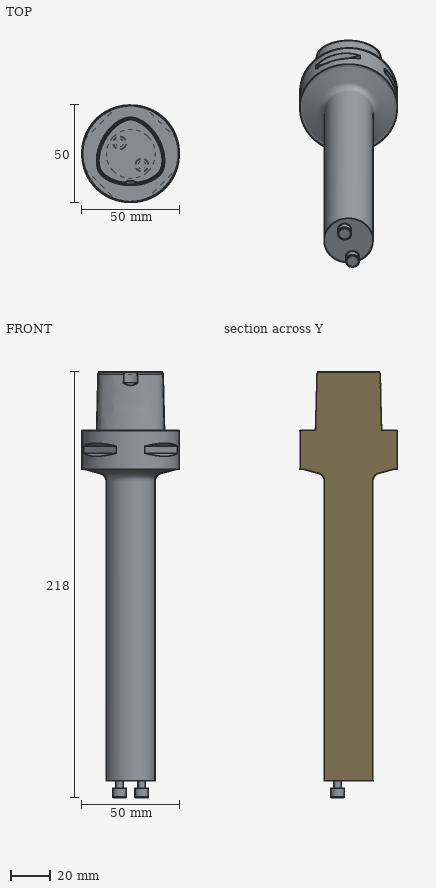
import cadquery as cq
import math

TOTAL_LENGTH = 218.0

SHANK_LENGTH = 29.9
SHANK_BASE_RADIUS = 17.5
LOBE_HEIGHT = 1.2
TAPER_PER_LENGTH = 0.025
SHANK_CHAMFER_HEIGHT = 1.3
SHANK_CHAMFER_WIDTH = 0.55
SHANK_CURVE_POINTS = 72

NOTCH_RADIUS = 4.8
NOTCH_CENTER_Y = -18.5
NOTCH_DEPTH = 5.7
NOTCH_TIP_ANGLE = 110.0

FLANGE_RADIUS = 50.0 / 2
FLANGE_HEIGHT = 20.0
FLANGE_CHAMFER = 0.5
NECK_TOP_RADIUS = 23.5
NECK_ANGLE = 15.0
NECK_FILLET = 4.0
SHAFT_RADIUS = 25.0 / 2

SLOT_COUNT = 4
SLOT_FLOOR_DISTANCE = 22.0
SLOT_FLOOR_HEIGHT = 3.5
SLOT_MOUTH_HEIGHT = 6.8
SLOT_Z = -FLANGE_HEIGHT / 2

SCREW_OFFSET = 5.7
SCREW_NECK_RADIUS = 4.0 / 2
SCREW_NECK_LENGTH = 3.7
SCREW_HEAD_RADIUS = 7.0 / 2
SCREW_HEAD_LENGTH = 4.8
SCREW_HEAD_CHAMFER = 0.5

SCREW_BOTTOM_Z = SHANK_LENGTH - TOTAL_LENGTH
SHAFT_BOTTOM_Z = SCREW_BOTTOM_Z + SCREW_HEAD_LENGTH + SCREW_NECK_LENGTH


def shank_section(radius, z):
    """Closed constant-width curve with one lobe toward +Y."""

    def point(t):
        angle = 2 * math.pi * t
        along = (radius * math.cos(angle) + 2 * LOBE_HEIGHT * math.cos(2 * angle)
                 - LOBE_HEIGHT * math.cos(4 * angle))
        across = (radius * math.sin(angle) - 2 * LOBE_HEIGHT * math.sin(2 * angle)
                  - LOBE_HEIGHT * math.sin(4 * angle))
        return cq.Vector(-across, along, z)

    points = [point(i / SHANK_CURVE_POINTS) for i in range(SHANK_CURVE_POINTS)]
    return cq.Wire.assembleEdges([cq.Edge.makeSpline(points, periodic=True)])


def make_shank():
    chamfer_z = SHANK_LENGTH - SHANK_CHAMFER_HEIGHT
    chamfer_radius = SHANK_BASE_RADIUS - TAPER_PER_LENGTH * chamfer_z
    base = shank_section(SHANK_BASE_RADIUS, 0)
    shoulder = shank_section(chamfer_radius, chamfer_z)
    top = shank_section(chamfer_radius - SHANK_CHAMFER_WIDTH, SHANK_LENGTH)
    return cq.Workplane(cq.Solid.makeLoft([base, shoulder, top], True))


def make_notch():
    """Vertical drill shape with a conical tip."""
    tip_depth = NOTCH_RADIUS / math.tan(math.radians(NOTCH_TIP_ANGLE / 2))
    drill = (
        cq.Workplane("XZ")
        .moveTo(0, -NOTCH_DEPTH - tip_depth)
        .lineTo(NOTCH_RADIUS, -NOTCH_DEPTH)
        .lineTo(NOTCH_RADIUS, 0)
        .lineTo(0, 0)
        .close()
        .revolve(360, (0, 0), (0, 1))
    )
    return drill.translate((0, NOTCH_CENTER_Y, SHANK_LENGTH))


def make_body():
    """Flange, neck cone, concave fillet and shaft, turned as one piece."""
    slope = math.radians(NECK_ANGLE)
    corner_z = -FLANGE_HEIGHT - (NECK_TOP_RADIUS - SHAFT_RADIUS) * math.tan(slope)
    tangent = NECK_FILLET * math.tan((math.pi / 2 - slope) / 2)
    fillet_center = (SHAFT_RADIUS + NECK_FILLET, corner_z - tangent)
    middle_angle = (math.pi + math.pi / 2 + slope) / 2
    fillet_start = (SHAFT_RADIUS + tangent * math.cos(slope), corner_z + tangent * math.sin(slope))
    fillet_middle = (
        fillet_center[0] + NECK_FILLET * math.cos(middle_angle),
        fillet_center[1] + NECK_FILLET * math.sin(middle_angle),
    )
    return (
        cq.Workplane("XZ")
        .moveTo(0, 0)
        .lineTo(FLANGE_RADIUS - FLANGE_CHAMFER, 0)
        .lineTo(FLANGE_RADIUS, -FLANGE_CHAMFER)
        .lineTo(FLANGE_RADIUS, -FLANGE_HEIGHT)
        .lineTo(NECK_TOP_RADIUS, -FLANGE_HEIGHT)
        .lineTo(*fillet_start)
        .threePointArc(fillet_middle, (SHAFT_RADIUS, corner_z - tangent))
        .lineTo(SHAFT_RADIUS, SHAFT_BOTTOM_Z)
        .lineTo(0, SHAFT_BOTTOM_Z)
        .close()
        .revolve(360, (0, 0), (0, 1))
    )


def make_slot():
    """Straight trapezoidal slot on the +X side, running along Y."""
    half_floor = SLOT_FLOOR_HEIGHT / 2
    half_mouth = SLOT_MOUTH_HEIGHT / 2
    return (
        cq.Workplane("XZ")
        .moveTo(SLOT_FLOOR_DISTANCE, SLOT_Z - half_floor)
        .lineTo(FLANGE_RADIUS, SLOT_Z - half_mouth)
        .lineTo(FLANGE_RADIUS, SLOT_Z + half_mouth)
        .lineTo(SLOT_FLOOR_DISTANCE, SLOT_Z + half_floor)
        .close()
        .extrude(FLANGE_RADIUS, both=True)
    )


def make_screw(x, y):
    head = (
        cq.Workplane("XY", origin=(x, y, SCREW_BOTTOM_Z))
        .circle(SCREW_HEAD_RADIUS)
        .extrude(SCREW_HEAD_LENGTH)
        .faces("<Z")
        .chamfer(SCREW_HEAD_CHAMFER)
    )
    neck = (
        cq.Workplane("XY", origin=(x, y, SCREW_BOTTOM_Z + SCREW_HEAD_LENGTH))
        .circle(SCREW_NECK_RADIUS)
        .extrude(SCREW_NECK_LENGTH)
    )
    return head.union(neck)


result = make_body().union(make_shank().cut(make_notch()))

for i in range(SLOT_COUNT):
    slot_angle = 360 / SLOT_COUNT * (i + 0.5)
    result = result.cut(make_slot().rotate((0, 0, 0), (0, 0, 1), slot_angle))

for side in (1, -1):
    result = result.union(make_screw(side * SCREW_OFFSET, -side * SCREW_OFFSET))